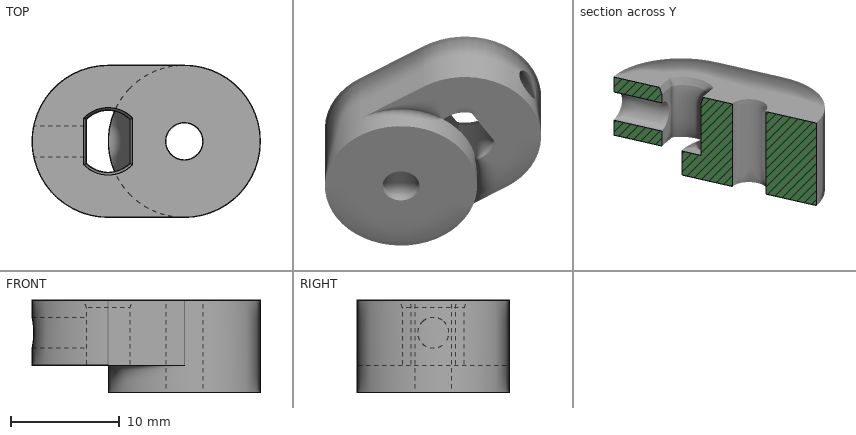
import cadquery as cq
import math

end_radius = 7.0
center_distance = 7.0
plate_thickness = 6.0
boss_height = 2.5

round_bore_diameter = 3.4
shaft_bore_diameter = 5.7
shaft_bore_flats = 4.0
lead_in_width = 0.25
lead_in_depth = 0.7
set_screw_diameter = 2.85

set_screw_height = plate_thickness / 2


def make_plate():
    """Plate with straight sides and two full-radius ends."""
    return (
        cq.Workplane("XY")
        .center(center_distance / 2, 0)
        .slot2D(center_distance + 2 * end_radius, 2 * end_radius)
        .extrude(plate_thickness)
    )


def make_boss():
    """Round boss under the plate, coaxial with the round bore."""
    return (
        cq.Workplane("XY")
        .center(center_distance, 0)
        .circle(end_radius)
        .extrude(-boss_height)
    )


def make_round_bore():
    """Plain bore through the plate and the boss."""
    return (
        cq.Workplane("XY", origin=(center_distance, 0, -boss_height))
        .circle(round_bore_diameter / 2)
        .extrude(boss_height + plate_thickness)
    )


def double_d_cutter(diameter, flats, depth, taper=0):
    """Double-D section reaching down from the plate top, narrowing by the taper angle (degrees)."""
    top_face = cq.Workplane("XY", origin=(0, 0, plate_thickness))
    round_part = top_face.circle(diameter / 2).extrude(-depth, taper=taper)
    flat_part = top_face.rect(flats, 2 * end_radius).extrude(-depth, taper=taper)
    return round_part.intersect(flat_part)


def make_shaft_bore():
    """Double-D bore through the plate only, with a steep lead-in chamfer at its top edge."""
    straight_bore = double_d_cutter(shaft_bore_diameter, shaft_bore_flats, plate_thickness)
    lead_in = double_d_cutter(
        shaft_bore_diameter + 2 * lead_in_width,
        shaft_bore_flats + 2 * lead_in_width,
        lead_in_depth,
        math.degrees(math.atan(lead_in_width / lead_in_depth)),
    )
    return straight_bore.union(lead_in)


def make_set_screw_hole():
    """Radial hole from the -X end into the double-D bore."""
    return (
        cq.Workplane("YZ", origin=(-end_radius, 0, set_screw_height))
        .circle(set_screw_diameter / 2)
        .extrude(end_radius)
    )


result = (
    make_plate()
    .union(make_boss())
    .cut(make_round_bore())
    .cut(make_shaft_bore())
    .cut(make_set_screw_hole())
)